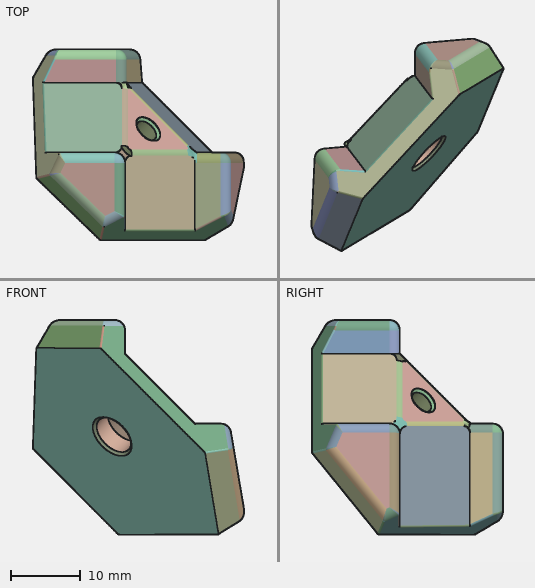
import cadquery as cq
import math

CORNER = cq.Vector(13.25, 12.65, 15.97)
WEB = 10.02
ARM_X = 14.98
ARM_Y = 14.8
ARM_Z = 30.83 - CORNER.z
LEAN = 0.17

BASE_SUM = 36.5
BASE_Y_WEIGHT = 1.03
NORMAL = cq.Vector(1, BASE_Y_WEIGHT, 1).normalized()
BASE_XY = [(0.5, 8.95), (9.7, 0), (24.73, 0), (26.67, 9.53), (12.33, 23.45), (0, 23.43)]
END_FLARES = (28, 25, 25)

EDGE_ROUND = 1.5
RIM_ROUND = 0.3

HOLE_CENTER_XY = (11.4, 10.67)
HOLE_DIAMETER = 3.4
BORE_DIAMETER = 6.0
BORE_DEPTH = 3.2
HOLE_CHAMFER = 0.4
BORE_CHAMFER = 0.4
WEB_FACE_HEIGHT = (CORNER.x + BASE_Y_WEIGHT * CORNER.y + CORNER.z + WEB - BASE_SUM) * NORMAL.x
TOLERANCE = 0.003
REACH = 92.5

X_AXIS = cq.Vector(1, 0, 0)
Y_AXIS = cq.Vector(0, 1, 0)
DOWN = cq.Vector(LEAN, 0, -1)


def base_point(x, y):
    return cq.Vector(x, y, BASE_SUM - x - BASE_Y_WEIGHT * y)


def prism(points, sweep):
    """Solid swept from a flat polygon along a vector."""
    face = cq.Face.makeFromWires(cq.Wire.makePolygon(points, close=True))
    return cq.Solid.extrudeLinear(face, sweep)


def arm(first, second, tip):
    """Skewed box behind the inner corner, reaching out to the tip."""
    end = CORNER + tip
    polygon = [end, end + first * REACH, end + first * REACH + second * REACH, end + second * REACH]
    return prism(polygon, tip.normalized() * -REACH)


def web(first, second, back):
    """Triangular web between two arms, running back from the inner corner."""
    return prism([CORNER, CORNER + first, CORNER + second], back * REACH)


def tetrahedron(points):
    """Solid with the four given points as its corners."""
    faces = []
    for skipped in range(4):
        triangle = points[:skipped] + points[skipped + 1:]
        faces.append(cq.Face.makeFromWires(cq.Wire.makePolygon(triangle, close=True)))
    return cq.Solid.makeSolid(cq.Shell.makeShell(faces))


def keep_inside(body, point, outward):
    """Cut away everything on the outward side of a plane."""
    plane = cq.Plane(origin=point, normal=outward)
    return body.cut(cq.Workplane(plane).rect(4 * REACH, 4 * REACH).extrude(3 * REACH))


def side_walls():
    """A point and the outward direction of each wall around the base."""
    corners = [base_point(x, y) for x, y in BASE_XY]
    walls = []
    for index, start in enumerate(corners):
        along = corners[(index + 1) % len(corners)] - start
        flare = math.radians(END_FLARES[index // 2] if index % 2 == 0 else 0)
        outward = along.cross(NORMAL).normalized()
        walls.append((start, outward * math.cos(flare) - NORMAL * math.sin(flare)))
    return walls


def make_body():
    web_x = X_AXIS * WEB
    web_y = Y_AXIS * WEB
    web_z = cq.Vector(0, 0, WEB)
    body = cq.Workplane(arm(-X_AXIS, -Y_AXIS, cq.Vector(0, 0, ARM_Z)))
    body = body.union(cq.Workplane(arm(-Y_AXIS, DOWN, X_AXIS * ARM_X)))
    body = body.union(cq.Workplane(arm(-X_AXIS, DOWN, Y_AXIS * ARM_Y)))
    body = body.union(cq.Workplane(web(web_x, web_z, -Y_AXIS)))
    body = body.union(cq.Workplane(web(web_y, web_z, -X_AXIS)))
    body = body.union(cq.Workplane(web(web_x, web_y, DOWN)))
    body = body.union(cq.Workplane(tetrahedron([CORNER, CORNER + web_x, CORNER + web_y, CORNER + web_z])))

    body = keep_inside(body, base_point(*BASE_XY[0]), -NORMAL)
    for start, outward in side_walls():
        body = keep_inside(body, start, outward)
    return body.clean()


def main_edges(body):
    """Edges around the three arm ends, and the ridges of the arms and webs above the inner corner."""
    chosen = []
    for edge in body.edges().vals():
        middle = edge.Center()
        from_corner = middle - CORNER
        on_end = (
            abs(from_corner.z - ARM_Z) < TOLERANCE
            or abs(from_corner.y - ARM_Y) < TOLERANCE
            or abs(from_corner.x + LEAN * from_corner.z - ARM_X) < TOLERANCE
        )
        is_ridge = min(from_corner.toTuple()) > -TOLERANCE
        if on_end or is_ridge:
            chosen.append(edge)
    return chosen


def rim_edges(body):
    """Edges of the six side walls, apart from those of the base and the arm ends."""
    main = main_edges(body)
    chosen = []
    for start, outward in side_walls():
        for edge in body.edges().vals():
            ends = (edge.startPoint(), edge.endPoint())
            on_wall = all(abs((point - start).dot(outward)) < TOLERANCE for point in ends)
            on_base = abs((edge.Center() - base_point(*BASE_XY[0])).dot(NORMAL)) < TOLERANCE
            taken = any(edge.isSame(other) for other in main + chosen)
            if on_wall and not on_base and not taken:
                chosen.append(edge)
    return chosen


def cut_hole(body):
    """Bore from the base, narrowing through a 45 degree cone to a through hole, with both rims chamfered."""
    plane = cq.Plane(origin=base_point(*HOLE_CENTER_XY), normal=NORMAL)
    top = WEB_FACE_HEIGHT
    hole_r = HOLE_DIAMETER / 2
    bore_r = BORE_DIAMETER / 2
    profile = [
        (0, 0),
        (bore_r + BORE_CHAMFER, 0),
        (bore_r, BORE_CHAMFER),
        (bore_r, BORE_DEPTH),
        (hole_r, BORE_DEPTH + bore_r - hole_r),
        (hole_r, top - HOLE_CHAMFER),
        (hole_r + HOLE_CHAMFER, top),
        (hole_r + HOLE_CHAMFER, top + HOLE_CHAMFER),
        (0, top + HOLE_CHAMFER),
    ]
    side = cq.Plane(origin=plane.origin, xDir=plane.xDir, normal=plane.xDir.cross(NORMAL))
    cutter = cq.Workplane(side).polyline(profile).close().revolve(360, (0, 0), (0, 1))
    return body.cut(cutter)


result = make_body()
result = result.newObject(main_edges(result)).fillet(EDGE_ROUND)
result = result.newObject(rim_edges(result)).fillet(RIM_ROUND)
result = cut_hole(result)